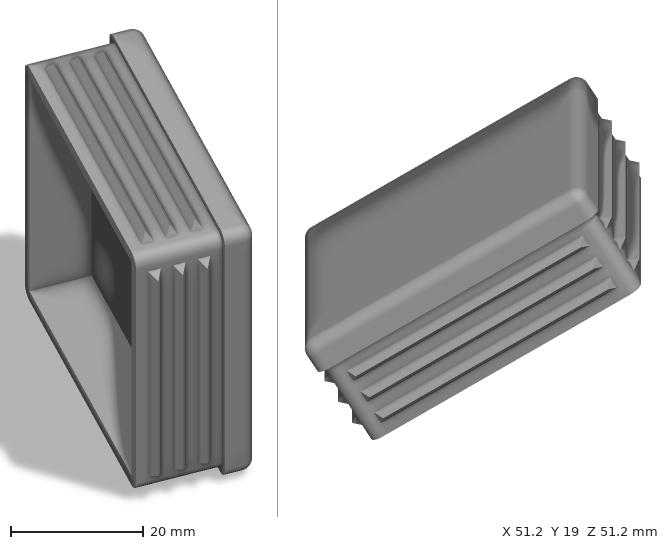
import cadquery as cq

overall_width = 51.15
overall_depth = 19.0
cap_width = 49.9
cap_depth = 5.0
body_width = 47.95
corner_radius = 2.0
wall = 2.0
floor_thickness = 9.0

rib_length = 42.0
rib_width = 2.0
rib_pitch = 4.0
rib_count = 3
first_rib_offset = 3.0

body_depth = overall_depth - cap_depth
cavity_width = body_width - 2 * wall
cavity_depth = overall_depth - floor_thickness
rib_height = (overall_width - body_width) / 2
rib_root = wall / 2
ridge_length = rib_length - rib_width


def square_prism(width, start_y, depth):
    """Square block centred on the Y axis, reaching from start_y toward +Y."""
    return cq.Workplane("XY").box(width, depth, width).translate((0, start_y + depth / 2, 0))


def make_body():
    body = square_prism(body_width, 0, body_depth)
    return body.edges("|Y").fillet(corner_radius)


def make_cap():
    cap = square_prism(cap_width, body_depth, cap_depth)
    return cap.edges("|Y or >Y").fillet(corner_radius)


def make_rib(centre_y):
    """Rib on the +Z side: a hipped roof with a sharp ridge, its foot sunk into the wall."""
    side_profile = (
        cq.Workplane("YZ")
        .moveTo(-rib_width / 2, -rib_root)
        .lineTo(-rib_width / 2, 0)
        .lineTo(0, rib_height)
        .lineTo(rib_width / 2, 0)
        .lineTo(rib_width / 2, -rib_root)
        .close()
        .extrude(rib_length / 2, both=True)
    )
    end_profile = (
        cq.Workplane("XZ")
        .moveTo(-rib_length / 2, -rib_root)
        .lineTo(-rib_length / 2, 0)
        .lineTo(-ridge_length / 2, rib_height)
        .lineTo(ridge_length / 2, rib_height)
        .lineTo(rib_length / 2, 0)
        .lineTo(rib_length / 2, -rib_root)
        .close()
        .extrude(rib_width, both=True)
    )
    return side_profile.intersect(end_profile).translate((0, centre_y, body_width / 2))


result = make_body().union(make_cap())
for rib_index in range(rib_count):
    rib = make_rib(first_rib_offset + rib_index * rib_pitch)
    for angle in (0, 90, 180, 270):
        result = result.union(rib.rotate((0, 0, 0), (0, 1, 0), angle))

result = result.cut(square_prism(cavity_width, 0, cavity_depth))